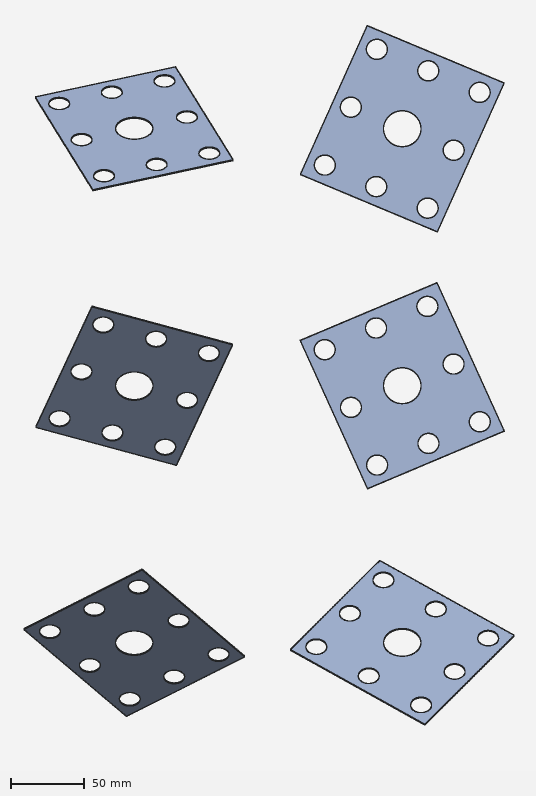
import cadquery as cq

length = 114.3
width = 101.6
thickness = 1.0

center_hole_diameter = 25.4
outer_hole_diameter = 14.2
edge_margin = 12.7

hole_pitch_x = length / 2 - edge_margin
hole_pitch_y = width / 2 - edge_margin

outer_hole_centers = [
    (column * hole_pitch_x, row * hole_pitch_y)
    for column in (-1, 0, 1)
    for row in (-1, 0, 1)
    if (column, row) != (0, 0)
]

plate = cq.Workplane("XY").box(length, width, thickness)

result = (
    plate.faces(">Z").workplane(origin=(0, 0, 0))
    .hole(center_hole_diameter)
    .faces(">Z").workplane(origin=(0, 0, 0))
    .pushPoints(outer_hole_centers)
    .hole(outer_hole_diameter)
)